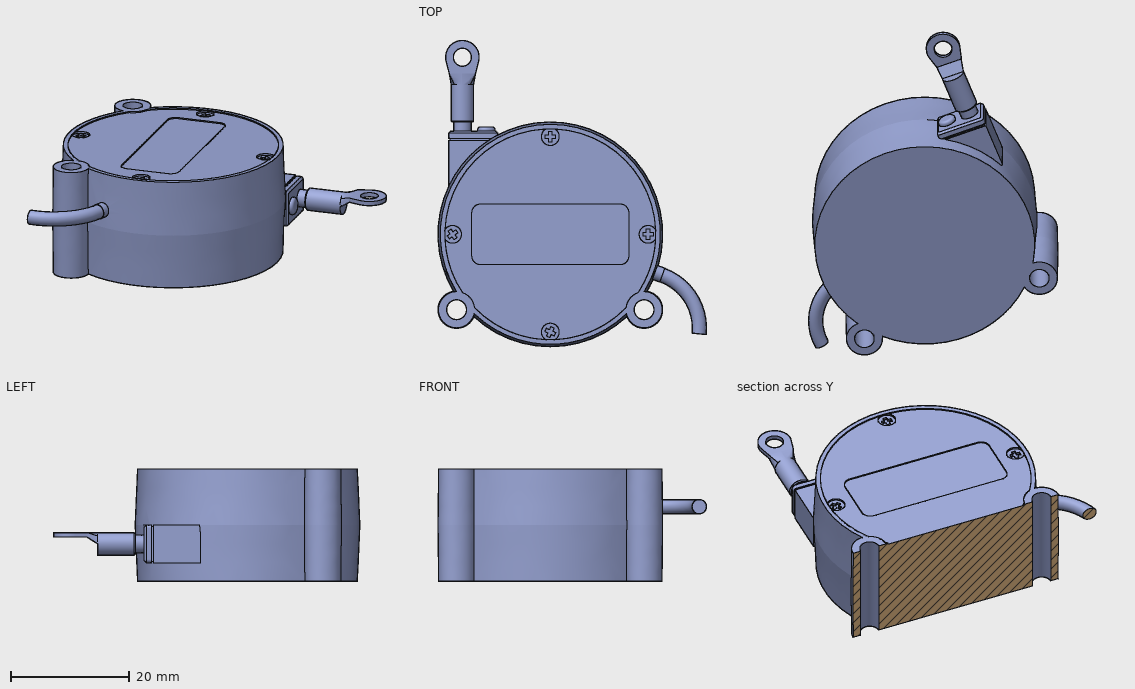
import cadquery as cq
import math

height = 19.05
half_height = height / 2
parting_radius = 19.05
end_radius = 18.65

cover_radius = 17.85
cover_depth = 0.2
label_length = 26.6
label_width = 10.3
label_corner = 1.5
label_depth = 0.2

screw_circle_radius = 16.55
screw_diameter = 3.0
screw_sink = 0.3
cross_span = 1.75
cross_arm = 0.6
cross_depth = 0.4
cross_turns = {0: 0, 90: 0, 180: 35, 270: 65}

ear_x = 15.9
ear_y = -12.75
ear_radius = 3.15
ear_end_radius = 3.05
ear_hole_diameter = 3.3

block_left = -17.25
block_right = -8.85
block_front = 8.0
block_back = 15.95
block_depth = 6.4
block_length = block_right - block_left
block_x = (block_left + block_right) / 2
gasket_inset = 0.2
gasket_thickness = 0.3
plate_thickness = 1.25
plate_chamfer = 0.35
plate_corner = 0.5
plate_back = block_back + gasket_thickness + plate_thickness
axis_z = -block_depth / 2
plate_screw_x = -10.85
plate_screw_height = 0.75
plate_screw_fillet = 0.5

lead_x = -14.9
lead_diameter = 3.0
barrel_diameter = 3.85
barrel_radius = barrel_diameter / 2
barrel_front = 19.0
barrel_back = 25.4
barrel_chamfer = 0.2
tongue_front = 27.2
tongue_width = 4.45
tongue_thickness = 0.8
tongue_top = axis_z + barrel_radius
ring_y = 30.0
ring_radius = 2.85
ring_hole_diameter = 3.0

cable_diameter = 2.45
cable_sleeve_diameter = 2.55
cable_z = 3.1
cable_exit_angle = -20
cable_straight = 20.2
cable_bend_radius = 9.55
cable_bend_angle = 76
cable_root = 16.6


def two_way_draft(middle_radius, outer_radius):
    half_profile = [(0, -half_height), (outer_radius, -half_height), (middle_radius, 0),
                    (outer_radius, half_height), (0, half_height)]
    return cq.Workplane("XZ").polyline(half_profile).close().revolve(360, (0, 0), (0, 1))


def housing():
    return two_way_draft(parting_radius, end_radius)


def ears():
    ear = two_way_draft(ear_radius, ear_end_radius)
    return ear.translate((-ear_x, ear_y, 0)).union(ear.translate((ear_x, ear_y, 0)))


def ear_holes():
    return (cq.Workplane("XY", origin=(0, 0, -half_height))
            .pushPoints([(-ear_x, ear_y), (ear_x, ear_y)])
            .circle(ear_hole_diameter / 2).extrude(height))


def cover_recess():
    floor = half_height - cover_depth
    disc = cq.Workplane("XY", origin=(0, 0, floor)).circle(cover_radius).extrude(cover_depth)
    label = (cq.Workplane("XY", origin=(0, 0, floor - label_depth))
             .rect(label_length, label_width).extrude(label_depth)
             .edges("|Z").fillet(label_corner))
    return disc.cut(ears()).union(label)


def screw_recess(position_angle, cross_turn):
    cover_level = half_height - cover_depth
    head_level = cover_level - screw_sink
    pocket = cq.Workplane("XY", origin=(0, 0, head_level)).circle(screw_diameter / 2).extrude(screw_sink)
    cross = cq.Workplane("XY", origin=(0, 0, head_level - cross_depth))
    slot = cross.rect(cross_span, cross_arm).extrude(cross_depth)
    cross_slot = cross.rect(cross_arm, cross_span).extrude(cross_depth)
    recess = pocket.union(slot).union(cross_slot).rotate((0, 0, 0), (0, 0, 1), cross_turn)
    angle = math.radians(position_angle)
    return recess.translate((screw_circle_radius * math.cos(angle), screw_circle_radius * math.sin(angle), 0))


def rod_along_y(x, diameter, y_start, y_end):
    return (cq.Workplane("XZ", origin=(x, y_start, axis_z))
            .circle(diameter / 2).extrude(y_start - y_end))


def terminal_block():
    block = (cq.Workplane("XY", origin=(0, block_front, 0))
             .box(block_length, block_back - block_front, block_depth, centered=(True, False, True)))
    gasket = (cq.Workplane("XY", origin=(0, block_back, 0))
              .box(block_length - 2 * gasket_inset, gasket_thickness, block_depth - 2 * gasket_inset,
                   centered=(True, False, True)))
    plate = (cq.Workplane("XY", origin=(0, block_back + gasket_thickness, 0))
             .box(block_length, plate_thickness, block_depth, centered=(True, False, True))
             .edges("|Y").fillet(plate_corner)
             .faces(">Y").edges().chamfer(plate_chamfer))
    body = block.union(gasket).union(plate).translate((block_x, 0, axis_z))
    screw = rod_along_y(plate_screw_x, screw_diameter, plate_back, plate_back + plate_screw_height)
    return body.union(screw.faces(">Y").edges().fillet(plate_screw_fillet))


def crimp_transition(half_width, tongue_bottom):
    def on_barrel(degrees):
        angle = math.radians(degrees)
        return (barrel_radius * math.cos(angle), axis_z + barrel_radius * math.sin(angle))

    half_round = cq.Workplane("XZ", origin=(lead_x, barrel_back, 0)).moveTo(*on_barrel(180))
    arc_step = 45
    for arc_end in (135, 90, 45, 0):
        half_round = half_round.threePointArc(on_barrel(arc_end + arc_step / 2), on_barrel(arc_end))
    section = half_round.close().workplane(offset=barrel_back - tongue_front)
    section = section.polyline([(-half_width, tongue_bottom), (-half_width, tongue_top), (0, tongue_top),
                                (half_width, tongue_top), (half_width, tongue_bottom)]).close()
    return section.loft(ruled=True)


def ring_terminal():
    lead = rod_along_y(lead_x, lead_diameter, plate_back, barrel_front)
    barrel = rod_along_y(lead_x, barrel_diameter, barrel_front, barrel_back)
    barrel = barrel.faces("<Y").edges().chamfer(barrel_chamfer)

    half_width = tongue_width / 2
    tongue_bottom = tongue_top - tongue_thickness
    transition = crimp_transition(half_width, tongue_bottom)

    reach = ring_y - tongue_front
    corner_distance = math.hypot(half_width, reach)
    touch_angle = math.acos(ring_radius / corner_distance) - math.atan2(reach, half_width)
    touch_x = ring_radius * math.cos(touch_angle)
    touch_y = ring_y + ring_radius * math.sin(touch_angle)
    tongue = (cq.Workplane("XY", origin=(lead_x, 0, tongue_bottom))
              .moveTo(-half_width, tongue_front)
              .lineTo(half_width, tongue_front)
              .lineTo(touch_x, touch_y)
              .threePointArc((0, ring_y + ring_radius), (-touch_x, touch_y))
              .close().extrude(tongue_thickness))
    hole = (cq.Workplane("XY", origin=(lead_x, ring_y, tongue_bottom))
            .circle(ring_hole_diameter / 2).extrude(tongue_thickness))
    return lead.union(barrel).union(transition).union(tongue.cut(hole))


def cable():
    sleeve = (cq.Workplane("YZ", origin=(cable_root, 0, cable_z))
              .circle(cable_sleeve_diameter / 2).extrude(cable_straight - cable_root))
    bend = (cq.Workplane("YZ", origin=(cable_straight, 0, cable_z))
            .circle(cable_diameter / 2)
            .revolve(cable_bend_angle, (-cable_bend_radius, 0), (-cable_bend_radius, -1)))
    return sleeve.union(bend).rotate((0, 0, 0), (0, 0, 1), cable_exit_angle)


result = housing().union(ears()).union(terminal_block()).union(ring_terminal()).union(cable())
result = result.cut(ear_holes()).cut(cover_recess())
for position, turn in cross_turns.items():
    result = result.cut(screw_recess(position, turn))